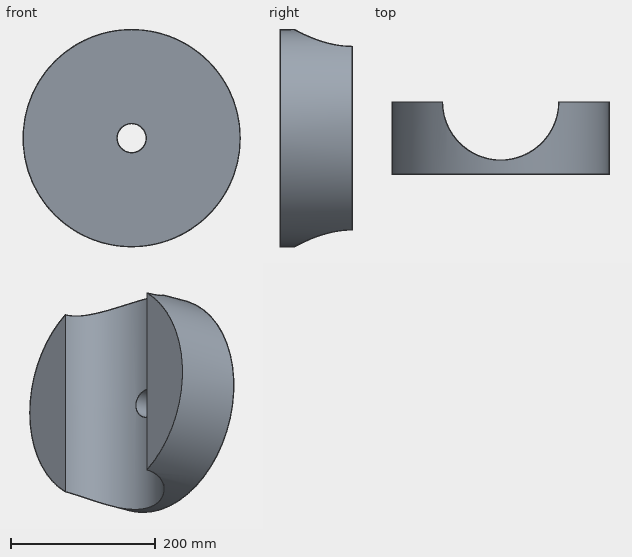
import cadquery as cq

disc_diameter = 300.0
disc_thickness = 100.0
saddle_radius = 80.0
bore_diameter = 40.0

half_thickness = disc_thickness / 2
disc = (
    cq.Workplane("XZ", origin=(0, half_thickness, 0))
    .circle(disc_diameter / 2)
    .extrude(disc_thickness)
)

saddle = (
    cq.Workplane("XY", origin=(0, half_thickness, 0))
    .circle(saddle_radius)
    .extrude(disc_diameter / 2, both=True)
)

bore = (
    cq.Workplane("XZ", origin=(0, half_thickness, 0))
    .circle(bore_diameter / 2)
    .extrude(disc_thickness)
)

result = disc.cut(saddle).cut(bore)